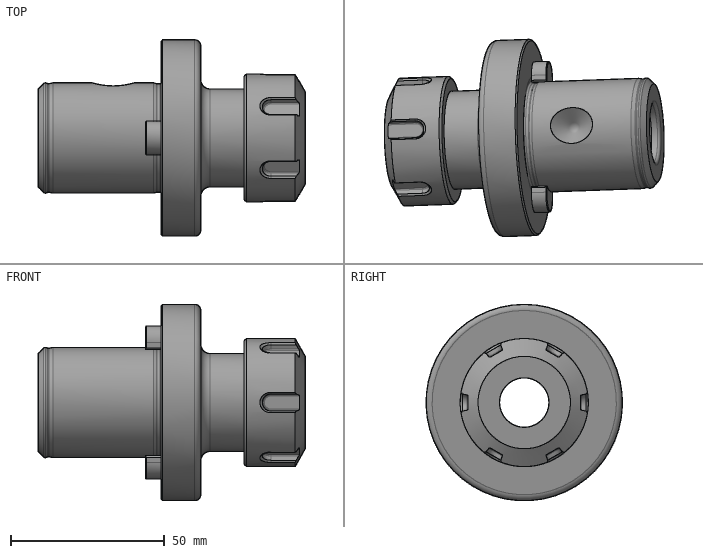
import cadquery as cq
import math


shank_radius = 18.0
shank_chamfer = 2.0
shank_edge_round = 0.9
relief_depth = 0.305
end_groove_start = 2.4
end_groove_floor_start = 3.1
end_groove_floor_end = 3.5
end_groove_end = 4.8
end_groove_round = 0.5

flange_start = 40.0
flange_end = 53.0
flange_radius = 32.0
flange_chamfer = 0.5
flange_round = 2.0
corner_relief_start = 37.6
corner_relief_floor_start = 38.6
corner_relief_round = 0.6
corner_slope_round = 0.9
corner_relief_radius = 19.6

neck_radius = 16.0
neck_round = 3.0

bore_radius = 8.0
mouth_radius = 9.5
mouth_round = 1.0
mouth_depth = 3.0
mouth_cone_length = 0.9

seat_center_x = 24.45
seat_radius = 7.0
seat_half_angle = 45.0

key_start = 35.0
key_half_width = 5.5
key_round_center = 19.5
key_corner_height = 17.8
key_foot_half_width = 5.0
key_chamfer = 0.305

nut_start = 67.0
nut_end = 87.0
nut_radius = 20.9
nut_back_chamfer = 0.8
nut_cone_start = 83.7
nut_front_radius = 15.05

slot_count = 6
slot_round_center = 75.8
slot_floor_radius = 18.4
slot_floor_half_width = 2.4
slot_floor_round = 0.35
slot_wall_height = 1.7
slot_wall_draft = 11.0
slot_lip_draft = 45.0
slot_side_overshoot = 0.9
slot_front_overshoot = 8.7


def revolve_about_x(outline):
    """Close an XZ outline, with Z as the radius, and turn it into a solid about X."""
    return outline.close().revolve(360, (0, 0, 0), (1, 0, 0))


def arc_middle(center_x, center_r, radius, angle):
    """Point on an arc in the turning plane, at an angle in degrees from +X."""
    turn = math.radians(angle)
    return (center_x + radius * math.cos(turn), center_r + radius * math.sin(turn))


def make_holder_blank():
    relief_radius = shank_radius - relief_depth
    corner_bottom = flange_start + relief_depth
    corner_arc_x = corner_bottom - corner_relief_round
    corner_arc_r = relief_radius + corner_relief_round
    neck_arc_x = flange_end + neck_round
    neck_arc_r = neck_radius + neck_round
    return revolve_about_x(
        cq.Workplane("XZ")
        .moveTo(0, 0)
        .lineTo(0, shank_radius - shank_chamfer)
        .lineTo(shank_chamfer, shank_radius)
        .lineTo(end_groove_start, shank_radius)
        .lineTo(end_groove_floor_start, relief_radius)
        .lineTo(end_groove_floor_end, relief_radius)
        .lineTo(end_groove_end, shank_radius)
        .lineTo(corner_relief_start, shank_radius)
        .lineTo(corner_relief_floor_start, relief_radius)
        .lineTo(corner_arc_x, relief_radius)
        .threePointArc(
            arc_middle(corner_arc_x, corner_arc_r, corner_relief_round, -45),
            (corner_bottom, corner_arc_r),
        )
        .lineTo(flange_start, corner_relief_radius)
        .lineTo(flange_start, flange_radius - flange_chamfer)
        .lineTo(flange_start + flange_chamfer, flange_radius)
        .lineTo(flange_end - flange_round, flange_radius)
        .threePointArc(
            arc_middle(flange_end - flange_round, flange_radius - flange_round, flange_round, 45),
            (flange_end, flange_radius - flange_round),
        )
        .lineTo(flange_end, neck_arc_r)
        .threePointArc(
            arc_middle(neck_arc_x, neck_arc_r, neck_round, 225),
            (neck_arc_x, neck_radius),
        )
        .lineTo(nut_start, neck_radius)
        .lineTo(nut_start, 0)
    )


def make_bore():
    return revolve_about_x(
        cq.Workplane("XZ")
        .moveTo(0, 0)
        .lineTo(0, mouth_radius + mouth_round)
        .threePointArc(
            arc_middle(mouth_round, mouth_radius + mouth_round, mouth_round, 225),
            (mouth_round, mouth_radius),
        )
        .lineTo(mouth_depth, mouth_radius)
        .lineTo(mouth_depth + mouth_cone_length, bore_radius)
        .lineTo(nut_end, bore_radius)
        .lineTo(nut_end, 0)
    )


def make_seat_cone():
    depth = seat_radius / math.tan(math.radians(seat_half_angle))
    overshoot = 0.9
    cone_height = depth + overshoot
    cone_radius = cone_height * math.tan(math.radians(seat_half_angle))
    apex = cq.Vector(seat_center_x, shank_radius - depth, 0)
    return cq.Solid.makeCone(0, cone_radius, cone_height, apex, cq.Vector(0, 1, 0))


def round_circle_at(blank, x, radius):
    """Round the circular edge that lies at x, picked by its center on the X axis."""
    reach = 0.04
    circle = cq.selectors.BoxSelector((x - reach, -reach, -reach), (x + reach, reach, reach))
    return blank.edges(circle).fillet(radius)


def make_holder():
    holder = make_holder_blank()
    holder = round_circle_at(holder, shank_chamfer, shank_edge_round)
    holder = round_circle_at(holder, end_groove_floor_start, end_groove_round)
    holder = round_circle_at(holder, corner_relief_floor_start, corner_slope_round)
    return holder.cut(make_bore()).cut(cq.Workplane(make_seat_cone()))


def make_key(turn):
    """Round-topped key standing on the flange face, its foot lying on the shank."""
    foot_height = math.sqrt(shank_radius**2 - key_foot_half_width**2)
    key = (
        cq.Workplane("YZ", origin=(key_start, 0, 0))
        .moveTo(-key_half_width, key_corner_height)
        .lineTo(-key_half_width, key_round_center)
        .threePointArc((0, key_round_center + key_half_width), (key_half_width, key_round_center))
        .lineTo(key_half_width, key_corner_height)
        .lineTo(key_foot_half_width, foot_height)
        .threePointArc((0, shank_radius), (-key_foot_half_width, foot_height))
        .close()
        .extrude(flange_start - key_start)
    )
    margin = 0.1
    rim = key.faces("<X").edges(cq.selectors.BoxSelector(
        (key_start - margin, -key_half_width - margin, key_corner_height),
        (key_start + margin, key_half_width + margin, key_round_center + key_half_width),
    ))
    return rim.chamfer(key_chamfer).rotate((0, 0, 0), (1, 0, 0), turn)


def slot_outline(height, half_width):
    """Slot shape at a height above the X axis: round at the back, open past the front of the nut."""
    front = nut_end + slot_front_overshoot
    return (
        cq.Workplane("XY", origin=(0, 0, height))
        .moveTo(front, half_width)
        .lineTo(slot_round_center, half_width)
        .threePointArc((slot_round_center - half_width, 0), (slot_round_center, -half_width))
        .lineTo(front, -half_width)
        .close()
    )


def make_slot_cutter():
    lip_radius = slot_floor_radius + slot_wall_height
    lip_half_width = slot_floor_half_width + slot_wall_height * math.tan(math.radians(slot_wall_draft))
    lip_height = nut_radius - lip_radius + slot_side_overshoot
    walls = slot_outline(slot_floor_radius, slot_floor_half_width).extrude(
        slot_wall_height, taper=-slot_wall_draft)
    lip = slot_outline(lip_radius, lip_half_width).extrude(lip_height, taper=-slot_lip_draft)
    return walls.faces("<Z").edges("not >X").fillet(slot_floor_round).union(lip)


def make_nut():
    nut = revolve_about_x(
        cq.Workplane("XZ")
        .moveTo(nut_start, bore_radius)
        .lineTo(nut_start, nut_radius - nut_back_chamfer)
        .lineTo(nut_start + nut_back_chamfer, nut_radius)
        .lineTo(nut_cone_start, nut_radius)
        .lineTo(nut_end, nut_front_radius)
        .lineTo(nut_end, bore_radius)
    )
    cutter = make_slot_cutter()
    slot_pitch = 360 / slot_count
    for index in range(slot_count):
        nut = nut.cut(cutter.rotate((0, 0, 0), (1, 0, 0), slot_pitch * (index + 0.5)))
    return nut


holder = make_holder()
nut = make_nut()
keys = [make_key(turn) for turn in (0, 180)]

result = cq.Compound.makeCompound([holder.val(), nut.val(), *[key.val() for key in keys]])